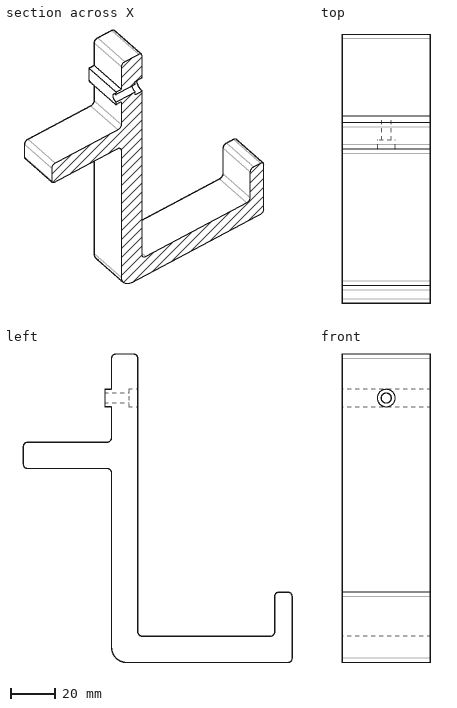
import cadquery as cq

width = 40.0
height = 140.0
thickness = 12.0

hook_reach = 70.0
lip_thickness = 8.0
lip_height = 32.0

shelf_reach = 40.0
shelf_bottom = 88.0
rib_depth = 3.0
rib_height = 8.0

screw_z = 120.0
screw_diameter = 4.5
head_diameter = 8.0
head_depth = 4.0

edge_radius = 2.0
heel_radius = 7.0

plate_front = -thickness
hook_front = plate_front - hook_reach
lip_back = hook_front + lip_thickness
shelf_top = shelf_bottom + thickness


def make_block(y_min, y_max, z_min, z_max):
    """Full-width block, centred on X = 0, between the given Y and Z limits."""
    return (
        cq.Workplane("XY")
        .box(width, y_max - y_min, z_max - z_min, centered=(True, False, False))
        .translate((0, y_min, z_min))
    )


def make_bracket():
    """Back plate, hook arm, lip and rear shelf joined into one sharp-edged body."""
    back_plate = make_block(plate_front, 0, 0, height)
    hook_arm = make_block(hook_front, 0, 0, thickness)
    lip = make_block(hook_front, lip_back, 0, lip_height)
    shelf = make_block(plate_front, shelf_reach, shelf_bottom, shelf_top)
    return back_plate.union(hook_arm).union(lip).union(shelf).clean()


def round_edges(body):
    """Round every edge along X with the common radius, and the heel more generously."""
    edges_along_x = cq.StringSyntaxSelector("|X")
    heel = cq.selectors.NearestToPointSelector((0, 0, 0))
    body = body.edges(edges_along_x - heel).fillet(edge_radius)
    return body.edges(edges_along_x).edges(heel).fillet(heel_radius)


def add_rib(body):
    """Sharp-edged rib across the rear face, level with the screw hole."""
    rib_bottom = screw_z - rib_height / 2
    rib = make_block(0, rib_depth, rib_bottom, rib_bottom + rib_height)
    return body.union(rib)


def cut_screw_hole(body):
    """Through hole along Y with a counterbore for the screw head in the front face."""
    front = cq.Workplane("XZ", origin=(0, plate_front, screw_z))
    through = front.circle(screw_diameter / 2).extrude(-(thickness + rib_depth))
    head = front.circle(head_diameter / 2).extrude(-head_depth)
    return body.cut(through).cut(head)


result = cut_screw_hole(add_rib(round_edges(make_bracket())))